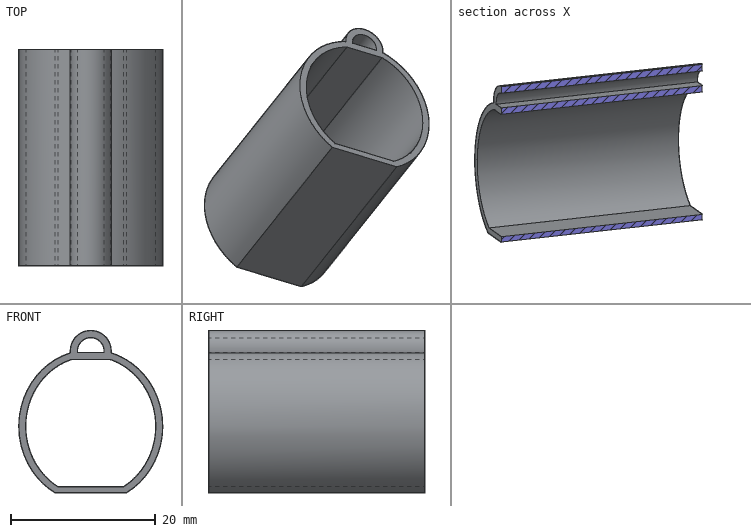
import cadquery as cq

length = 30.0
half_width = 10.0
total_height = 22.5

wall = 1.0
half_height = 10.62
bore_half_width = half_width - wall
bore_half_height = 9.7

base_z = -9.2
base_thickness = 0.85
bore_floor_z = base_z + base_thickness
bore_ceiling_z = 9.25

channel_outer_radius = 2.85
channel_inner_radius = 1.83
channel_floor_z = bore_ceiling_z + wall
channel_center_z = base_z + total_height - channel_outer_radius


def extrude_along_y(profile):
    """Extrude an XZ profile over the length, centred on Y = 0."""
    return profile.extrude(length).translate((0, length / 2, 0))


def flattened_ellipse(x_radius, z_radius, bottom_z, top_z):
    """Elliptical prism cut flat at the bottom and top."""
    prism = extrude_along_y(cq.Workplane("XZ").ellipse(z_radius, x_radius, rotation_angle=90))
    slab = cq.Workplane("XY").box(2 * half_width, length, top_z - bottom_z)
    return prism.intersect(slab.translate((0, 0, (bottom_z + top_z) / 2)))


def arch(radius, bottom_z):
    """Prism with straight sides and a semicircular top."""
    profile = (
        cq.Workplane("XZ")
        .moveTo(-radius, bottom_z)
        .lineTo(-radius, channel_center_z)
        .threePointArc((0, channel_center_z + radius), (radius, channel_center_z))
        .lineTo(radius, bottom_z)
        .close()
    )
    return extrude_along_y(profile)


sleeve = flattened_ellipse(half_width, half_height, base_z, channel_floor_z)
bore = flattened_ellipse(bore_half_width, bore_half_height, bore_floor_z, bore_ceiling_z)
channel_body = arch(channel_outer_radius, bore_ceiling_z)
channel_hole = arch(channel_inner_radius, channel_floor_z)

result = sleeve.union(channel_body).cut(bore).cut(channel_hole)